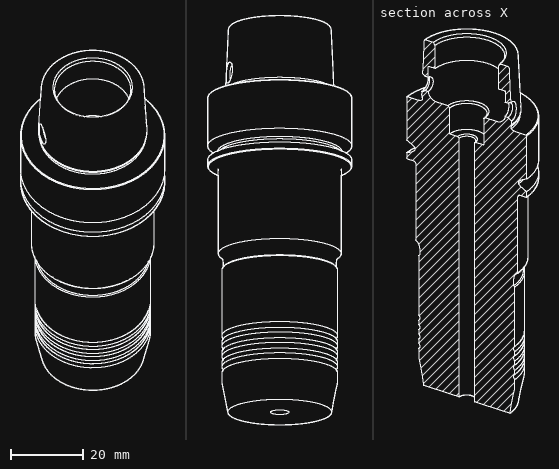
import cadquery as cq

total_height = 109.9
flange_top = 90.0
flange_bottom = 70.1

shank_top_radius = 14.3
shank_base_radius = 15.1
shank_base_height = 92.2
shank_top_fillet = 0.8

shank_base_land = 0.3
neck_radius = 14.8
neck_top = 91.2
neck_bottom = 90.5
neck_foot_radius = 15.3
neck_foot_height = 90.2
face_cone_radius = 16.2

flange_radius = 20.0
flange_chamfer = 0.2
groove_center = 74.1
groove_half_width = 2.0
groove_bend_half_width = 1.0
groove_bend_radius = 18.0
groove_root_half_width = 0.3
groove_root_radius = 17.3

body_radius = 17.0
body_bottom = 45.3
body_top_fillet = 0.7
relief_radius = 15.7
relief_fillet_bottom = 43.0
relief_bottom = 41.0
relief_step = body_radius - relief_radius
relief_fillet_height = body_bottom - relief_fillet_bottom
relief_fillet_radius = (relief_step**2 + relief_fillet_height**2) / (2 * relief_step)

nose_radius = 16.0
nose_edge_chamfer = nose_radius - relief_radius
ring_groove_count = 4
ring_groove_pitch = 3.0
ring_groove_top_center = 21.0
ring_groove_half_width = 0.82
ring_groove_arc_radius = 1.1
nose_taper_top = 8.6
nose_end_radius = 14.4

bore_radius = 10.5
bore_mouth_radius = 11.0
bore_mouth_depth = 0.9
bore_lip_depth = 8.2
cavity_radius = 12.7
cavity_fillet = 2.7
bore_floor = 91.3
tube_bore_radius = 5.6
tube_bore_chamfer = 0.5
tube_bore_depth = 8.8
channel_radius = 2.5
channel_chamfer = 0.4

cross_hole_radius = 2.2
cross_hole_mouth_radius = 3.0
cross_hole_height = 95.9
cross_hole_sink_depth = 1.1


def add_ring_groove(profile, center):
    """Continue the nose outline downward through one round-bottomed groove."""
    half = ring_groove_half_width
    return (
        profile.lineTo(nose_radius, center + half)
        .radiusArc((nose_radius, center - half), -ring_groove_arc_radius)
    )


def outer_body():
    """Revolve the outer outline, drawn from the top down to the nose end."""
    profile = (
        cq.Workplane("XZ")
        .moveTo(0, total_height)
        .lineTo(shank_top_radius - shank_top_fillet, total_height)
        .radiusArc((shank_top_radius, total_height - shank_top_fillet), shank_top_fillet)
        .lineTo(shank_base_radius, shank_base_height)
        .lineTo(shank_base_radius, shank_base_height - shank_base_land)
        .lineTo(neck_radius, neck_top)
        .lineTo(neck_radius, neck_bottom)
        .lineTo(neck_foot_radius, neck_foot_height)
        .lineTo(face_cone_radius, flange_top)
        .lineTo(flange_radius - flange_chamfer, flange_top)
        .lineTo(flange_radius, flange_top - flange_chamfer)
        .lineTo(flange_radius, groove_center + groove_half_width)
        .lineTo(groove_bend_radius, groove_center + groove_bend_half_width)
        .lineTo(groove_root_radius, groove_center + groove_root_half_width)
        .lineTo(groove_root_radius, groove_center - groove_root_half_width)
        .lineTo(groove_bend_radius, groove_center - groove_bend_half_width)
        .lineTo(flange_radius, groove_center - groove_half_width)
        .lineTo(flange_radius, flange_bottom + flange_chamfer)
        .lineTo(flange_radius - flange_chamfer, flange_bottom)
        .lineTo(body_radius + body_top_fillet, flange_bottom)
        .radiusArc((body_radius, flange_bottom - body_top_fillet), -body_top_fillet)
        .lineTo(body_radius, body_bottom)
        .radiusArc((relief_radius, relief_fillet_bottom), -relief_fillet_radius)
        .lineTo(relief_radius, relief_bottom)
        .lineTo(nose_radius, relief_bottom - nose_edge_chamfer)
    )
    for index in range(ring_groove_count):
        profile = add_ring_groove(profile, ring_groove_top_center - index * ring_groove_pitch)
    profile = (
        profile.lineTo(nose_radius, nose_taper_top)
        .lineTo(nose_end_radius, 0)
        .lineTo(0, 0)
        .close()
    )
    return profile.revolve(360, (0, 0), (0, 1))


def stepped_bore():
    """Revolve the bore: lipped cavity with a rounded floor edge, tube bore and through channel."""
    tube_floor = bore_floor - tube_bore_depth
    return (
        cq.Workplane("XZ")
        .moveTo(0, total_height)
        .lineTo(bore_mouth_radius, total_height)
        .lineTo(bore_radius, total_height - bore_mouth_depth)
        .lineTo(bore_radius, total_height - bore_lip_depth)
        .lineTo(cavity_radius, total_height - bore_lip_depth)
        .lineTo(cavity_radius, bore_floor + cavity_fillet)
        .radiusArc((cavity_radius - cavity_fillet, bore_floor), cavity_fillet)
        .lineTo(tube_bore_radius + tube_bore_chamfer, bore_floor)
        .lineTo(tube_bore_radius, bore_floor - tube_bore_chamfer)
        .lineTo(tube_bore_radius, tube_floor)
        .lineTo(channel_radius + channel_chamfer, tube_floor)
        .lineTo(channel_radius, tube_floor - channel_chamfer)
        .lineTo(channel_radius, 0)
        .lineTo(0, 0)
        .close()
        .revolve(360, (0, 0), (0, 1))
    )


def cross_hole():
    """Hole along Y with a countersunk mouth on both sides of the shank."""
    drop = total_height - cross_hole_height
    slope = (shank_base_radius - shank_top_radius) / (total_height - shank_base_height)
    wall_radius = shank_top_radius + slope * drop
    half = (
        cq.Workplane("XY")
        .lineTo(cross_hole_radius, 0)
        .lineTo(cross_hole_radius, wall_radius - cross_hole_sink_depth)
        .lineTo(cross_hole_mouth_radius, wall_radius)
        .lineTo(cross_hole_mouth_radius, flange_radius)
        .lineTo(0, flange_radius)
        .close()
        .revolve(360, (0, 0), (0, 1))
        .translate((0, 0, cross_hole_height))
    )
    return half.union(half.rotate((0, 0, 0), (0, 0, 1), 180))


result = outer_body().cut(stepped_bore()).cut(cross_hole())